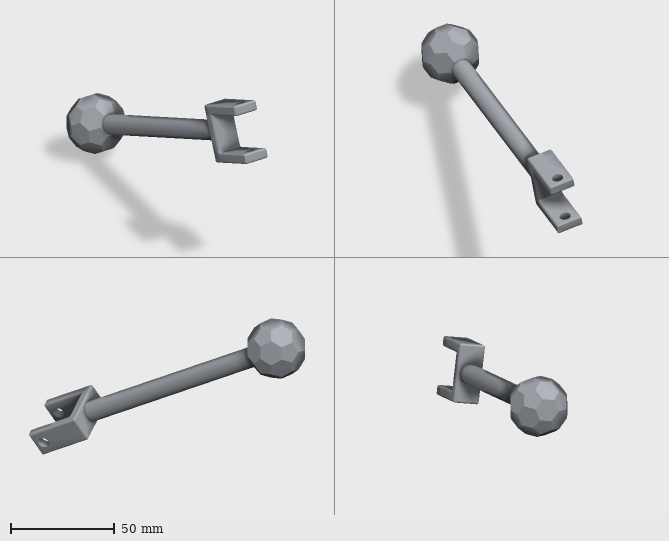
import cadquery as cq
import math

BALL_EDGE = 6.0
ROD_DIAMETER = 10.0
ROD_LENGTH = 100.0
FORK_LENGTH = 28.0
FORK_WIDTH = 13.0
FORK_OPENING = 19.0
ARM_THICKNESS = 5.0
BACK_THICKNESS = 5.0
EDGE_BREAK = 1.0
PIN_HOLE_DIAMETER = 5.5
PIN_HOLE_TO_TIP = 5.0

GOLDEN = (1 + math.sqrt(5)) / 2
FORK_HEIGHT = FORK_OPENING + 2 * ARM_THICKNESS
HEXAGON_DISTANCE = BALL_EDGE * math.sqrt(3) * GOLDEN**2 / 2
ROD_TILT = math.degrees(math.atan(1 / GOLDEN**2))
FORK_BACK = HEXAGON_DISTANCE + ROD_LENGTH
FORK_TIP = FORK_BACK + FORK_LENGTH


def signed_cycles(x, y, z):
    """All sign choices of the cyclic permutations of (x, y, z)."""
    points = set()
    for a, b, c in ((x, y, z), (y, z, x), (z, x, y)):
        for sign_a in (1, -1):
            for sign_b in (1, -1):
                for sign_c in (1, -1):
                    points.add((sign_a * a, sign_b * b, sign_c * c))
    return [cq.Vector(*point) for point in sorted(points)]


def face_polygon(vertices, normal):
    """Flat face through the vertices lying farthest along the normal."""
    tolerance = 1e-6
    axis = normal.normalized()
    farthest = max(vertex.dot(axis) for vertex in vertices)
    corners = [vertex for vertex in vertices if vertex.dot(axis) > farthest - tolerance]
    centre = axis * farthest
    first_axis = (corners[0] - centre).normalized()
    second_axis = axis.cross(first_axis)

    def angle(corner):
        spoke = corner - centre
        return math.atan2(spoke.dot(second_axis), spoke.dot(first_axis))

    outline = cq.Wire.makePolygon(sorted(corners, key=angle), close=True)
    return cq.Face.makeFromWires(outline)


def make_ball():
    """Truncated icosahedron centred on the origin, with an edge at each end of every axis."""
    unit_vertices = (
        signed_cycles(1, 0, 3 * GOLDEN)
        + signed_cycles(2 + GOLDEN, 1, 2 * GOLDEN)
        + signed_cycles(2, GOLDEN, 2 * GOLDEN + 1)
    )
    vertices = [vertex * (BALL_EDGE / 2) for vertex in unit_vertices]
    pentagon_normals = signed_cycles(1, 0, GOLDEN)
    hexagon_normals = signed_cycles(1, 1, 1) + signed_cycles(GOLDEN, 0, 1 / GOLDEN)
    faces = [face_polygon(vertices, normal) for normal in pentagon_normals + hexagon_normals]
    return cq.Workplane(cq.Solid.makeSolid(cq.Shell.makeShell(faces)))


def make_rod():
    """Round rod along X, seated on a hexagon of the ball and ending at the back of the fork."""
    return (
        cq.Workplane("YZ", origin=(HEXAGON_DISTANCE, 0, 0))
        .circle(ROD_DIAMETER / 2)
        .extrude(ROD_LENGTH)
    )


def round_fork_edges(fork):
    """Round the fork, leaving sharp its upper inside corner and the lower arm's two side edges at the tip."""
    tolerance = 1e-3
    lower_arm_middle = -(FORK_OPENING + ARM_THICKNESS) / 2
    sharp_edge_middles = [
        cq.Vector(FORK_BACK + BACK_THICKNESS, 0, FORK_OPENING / 2),
        cq.Vector(FORK_TIP, FORK_WIDTH / 2, lower_arm_middle),
        cq.Vector(FORK_TIP, -FORK_WIDTH / 2, lower_arm_middle),
    ]
    rounded_edges = [
        edge
        for edge in fork.edges().vals()
        if all((edge.Center() - middle).Length > tolerance for middle in sharp_edge_middles)
    ]
    return fork.newObject(rounded_edges).fillet(EDGE_BREAK)


def make_fork():
    """U-shaped fork opening toward +X, with one pin hole through both arms."""
    block = (
        cq.Workplane("YZ", origin=(FORK_BACK, 0, 0))
        .rect(FORK_WIDTH, FORK_HEIGHT)
        .extrude(FORK_LENGTH)
    )
    gap = (
        cq.Workplane("YZ", origin=(FORK_BACK + BACK_THICKNESS, 0, 0))
        .rect(FORK_WIDTH, FORK_OPENING)
        .extrude(FORK_LENGTH - BACK_THICKNESS)
    )
    pin_hole = (
        cq.Workplane("XY", origin=(FORK_TIP - PIN_HOLE_TO_TIP, 0, -FORK_HEIGHT / 2))
        .circle(PIN_HOLE_DIAMETER / 2)
        .extrude(FORK_HEIGHT)
    )
    return round_fork_edges(block.cut(gap)).cut(pin_hole)


handle = make_rod().union(make_fork()).rotate((0, 0, 0), (0, 1, 0), -ROD_TILT)
result = make_ball().union(handle)